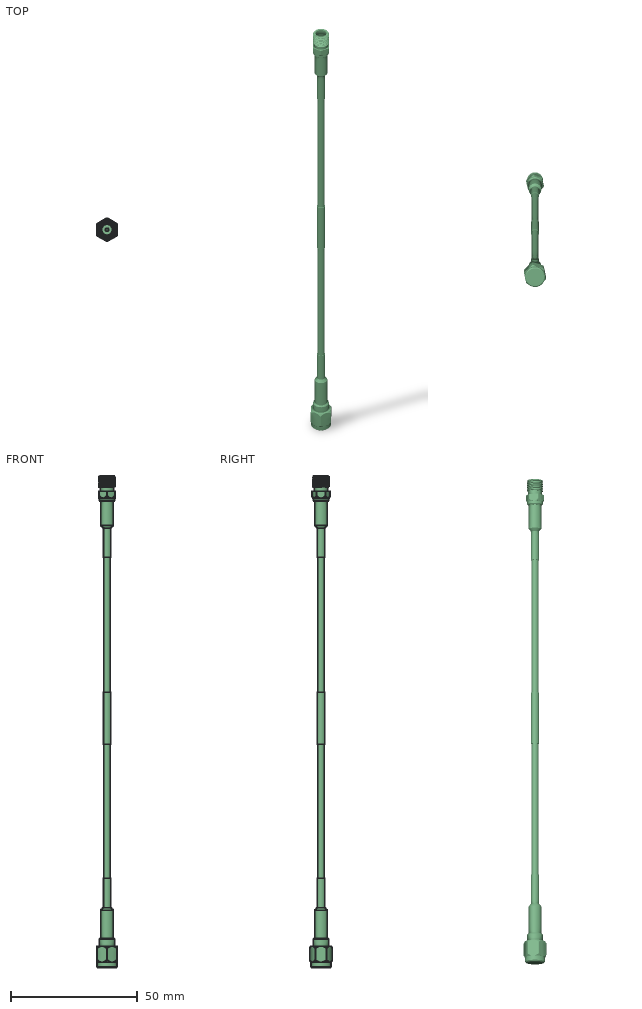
import cadquery as cq
import math

TOTAL_LENGTH = 194.12

CABLE_DIAMETER = 2.7
SLEEVE_SMALL_DIAMETER = 3.1
SLEEVE_LARGE_DIAMETER = 5.0
SLEEVE_CONE_HEIGHT = 1.1
SLEEVE_NECK_LENGTH = 11.6
LABEL_DIAMETER = SLEEVE_SMALL_DIAMETER
LABEL_LENGTH = 20.6
LABEL_MIDDLE_Z = 98.4

TAIL_DIAMETER = 4.2
CABLE_INSERTION = 8.0
COLLAR_DIAMETER = 6.2
COLLAR_CHAMFER = 0.45

NUT_HEX_WIDTH = 7.94
NUT_CORNER_DIAMETER = 9.02
NUT_CORNER_CHAMFER_DEPTH = (NUT_CORNER_DIAMETER - NUT_HEX_WIDTH) / 2
NUT_CORNER_CHAMFER_HEIGHT = 0.8
NUT_HEX_BOTTOM = 2.1
NUT_TOP = 8.5
NUT_RIM_CHAMFER = 0.4
NUT_BORE_DIAMETER = 5.6
PLUG_COLLAR_TOP = 11.6
PLUG_SLEEVE_LENGTH = 11.0

THREAD_DIAMETER = 6.35
THREAD_PITCH = 25.4 / 36
THREAD_ROOT_DIAMETER = 5.5
THREAD_BASE_WIDTH = 0.9 * THREAD_PITCH
THREAD_CREST_WIDTH = 0.12 * THREAD_PITCH
THREAD_LENGTH = 4.5
THREAD_BOTTOM = TOTAL_LENGTH - THREAD_LENGTH
THREAD_OVERLAP = 0.1
THREAD_TIP_CHAMFER = 0.4
JACK_HEX_WIDTH = 6.35
JACK_CORNER_DIAMETER = 7.2
JACK_HEX_TOP = TOTAL_LENGTH - 6.0
JACK_HEX_HEIGHT = 2.8
JACK_HEX_BOTTOM = JACK_HEX_TOP - JACK_HEX_HEIGHT
JACK_CORNER_CHAMFER_DEPTH = (JACK_CORNER_DIAMETER - JACK_HEX_WIDTH) / 2
JACK_CORNER_CHAMFER_HEIGHT = 0.8
JACK_COLLAR_HEIGHT = 1.3
JACK_COLLAR_BOTTOM = JACK_HEX_BOTTOM - JACK_COLLAR_HEIGHT
JACK_SLEEVE_LENGTH = 9.4
SOCKET_DIAMETER = 4.3
SOCKET_DEPTH = 2.0
CONTACT_HOLE_DIAMETER = 1.3
CONTACT_HOLE_DEPTH = 4.0


def cylinder(diameter, bottom, top):
    return cq.Workplane("XY").workplane(offset=bottom).circle(diameter / 2).extrude(top - bottom)


def hexagon(width, bottom, top):
    """Hexagonal prism with flats facing +X and -X."""
    across_corners = width / math.cos(math.pi / 6)
    prism = cq.Workplane("XY").workplane(offset=bottom).polygon(6, across_corners).extrude(top - bottom)
    return prism.rotate((0, 0, 0), (0, 0, 1), 30)


def make_nut():
    rim = cylinder(NUT_HEX_WIDTH, 0, NUT_HEX_BOTTOM).faces("<Z").chamfer(NUT_RIM_CHAMFER)
    turned = cylinder(NUT_CORNER_DIAMETER, NUT_HEX_BOTTOM, NUT_TOP)
    turned = turned.faces("<Z or >Z").chamfer(NUT_CORNER_CHAMFER_HEIGHT, NUT_CORNER_CHAMFER_DEPTH)
    hex_part = hexagon(NUT_HEX_WIDTH, NUT_HEX_BOTTOM, NUT_TOP).intersect(turned)
    bore = cylinder(NUT_BORE_DIAMETER, 0, NUT_TOP)
    return rim.union(hex_part).cut(bore)


def make_plug():
    tail_top = PLUG_COLLAR_TOP + PLUG_SLEEVE_LENGTH
    spindle = cylinder(NUT_BORE_DIAMETER, 0, NUT_TOP)
    collar = cylinder(COLLAR_DIAMETER, NUT_TOP, PLUG_COLLAR_TOP).faces(">Z").chamfer(COLLAR_CHAMFER)
    tail = cylinder(TAIL_DIAMETER, PLUG_COLLAR_TOP, tail_top)
    cable_hole = cylinder(CABLE_DIAMETER, tail_top - CABLE_INSERTION, tail_top)
    return spindle.union(collar).union(tail).cut(cable_hole)


def make_thread_ridge():
    """Helical ridge around the barrel, trimmed flat at both ends and chamfered at the tip."""
    path = cq.Wire.makeHelix(THREAD_PITCH, THREAD_LENGTH + THREAD_PITCH, THREAD_ROOT_DIAMETER / 2)
    inner = THREAD_ROOT_DIAMETER / 2 - THREAD_OVERLAP
    outer = THREAD_DIAMETER / 2
    profile = [
        (inner, -THREAD_BASE_WIDTH / 2),
        (outer, -THREAD_CREST_WIDTH / 2),
        (outer, THREAD_CREST_WIDTH / 2),
        (inner, THREAD_BASE_WIDTH / 2),
    ]
    ridge = cq.Workplane("XZ").polyline(profile).close().sweep(cq.Workplane(path), isFrenet=True)
    ridge = ridge.translate((0, 0, THREAD_BOTTOM - THREAD_PITCH / 2))
    envelope = cylinder(THREAD_DIAMETER + 2 * THREAD_OVERLAP, THREAD_BOTTOM, TOTAL_LENGTH)
    return ridge.intersect(envelope.faces(">Z").chamfer(THREAD_TIP_CHAMFER))


def make_jack():
    tail_bottom = JACK_COLLAR_BOTTOM - JACK_SLEEVE_LENGTH
    barrel = cylinder(THREAD_ROOT_DIAMETER, JACK_HEX_TOP, TOTAL_LENGTH).union(make_thread_ridge())
    turned = cylinder(JACK_CORNER_DIAMETER, JACK_HEX_BOTTOM, JACK_HEX_TOP)
    turned = turned.faces("<Z").chamfer(JACK_CORNER_CHAMFER_HEIGHT, JACK_CORNER_CHAMFER_DEPTH)
    hex_part = hexagon(JACK_HEX_WIDTH, JACK_HEX_BOTTOM, JACK_HEX_TOP).intersect(turned)
    collar = cylinder(COLLAR_DIAMETER, JACK_COLLAR_BOTTOM, JACK_HEX_BOTTOM)
    collar = collar.faces("<Z").chamfer(COLLAR_CHAMFER)
    tail = cylinder(TAIL_DIAMETER, tail_bottom, JACK_COLLAR_BOTTOM)
    body = barrel.union(hex_part).union(collar).union(tail)
    socket = cylinder(SOCKET_DIAMETER, TOTAL_LENGTH - SOCKET_DEPTH, TOTAL_LENGTH)
    contact_hole = cylinder(CONTACT_HOLE_DIAMETER, TOTAL_LENGTH - CONTACT_HOLE_DEPTH, TOTAL_LENGTH)
    cable_hole = cylinder(CABLE_DIAMETER, tail_bottom, tail_bottom + CABLE_INSERTION)
    return body.cut(socket).cut(contact_hole).cut(cable_hole)


def make_sleeve(collar_z, large_length, direction):
    """Shrink sleeve from a connector collar over its tail, then tapering down onto the cable.

    direction is +1 when the sleeve runs up from the collar and -1 when it runs down.
    """
    cone_start = collar_z + direction * large_length
    cone_end = cone_start + direction * SLEEVE_CONE_HEIGHT
    neck_end = cone_end + direction * SLEEVE_NECK_LENGTH
    profile = [
        (TAIL_DIAMETER / 2, collar_z),
        (SLEEVE_LARGE_DIAMETER / 2, collar_z),
        (SLEEVE_LARGE_DIAMETER / 2, cone_start),
        (SLEEVE_SMALL_DIAMETER / 2, cone_end),
        (SLEEVE_SMALL_DIAMETER / 2, neck_end),
        (CABLE_DIAMETER / 2, neck_end),
        (CABLE_DIAMETER / 2, cone_start),
        (TAIL_DIAMETER / 2, cone_start),
    ]
    return cq.Workplane("XZ").polyline(profile).close().revolve(360, (0, 0, 0), (0, 1, 0))


def make_cable():
    bottom = PLUG_COLLAR_TOP + PLUG_SLEEVE_LENGTH - CABLE_INSERTION
    top = JACK_COLLAR_BOTTOM - JACK_SLEEVE_LENGTH + CABLE_INSERTION
    return cylinder(CABLE_DIAMETER, bottom, top)


def make_label():
    bottom = LABEL_MIDDLE_Z - LABEL_LENGTH / 2
    top = LABEL_MIDDLE_Z + LABEL_LENGTH / 2
    return cylinder(LABEL_DIAMETER, bottom, top).cut(cylinder(CABLE_DIAMETER, bottom, top))


nut = make_nut()
plug = make_plug()
jack = make_jack()
cable = make_cable()
label = make_label()
sleeve_ends = [
    (PLUG_COLLAR_TOP, PLUG_SLEEVE_LENGTH, 1),
    (JACK_COLLAR_BOTTOM, JACK_SLEEVE_LENGTH, -1),
]
sleeves = [make_sleeve(*end) for end in sleeve_ends]

result = cq.Compound.makeCompound(
    [nut.val(), plug.val(), jack.val(), cable.val(), label.val()] + [sleeve.val() for sleeve in sleeves]
)